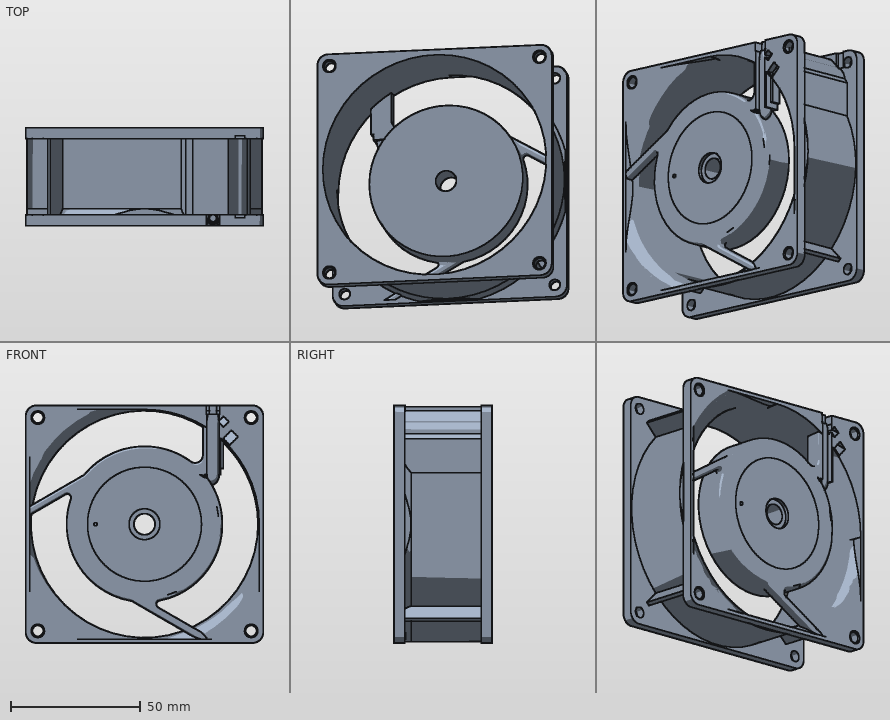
import cadquery as cq
import math


side = 92.0
depth = 38.0
flange_thickness = 4.2
flange_corner_radius = 4.2
mount_pitch = 82.5
mount_hole_radius = 2.1
mount_hole_chamfer = 0.5
front_inner_face = flange_thickness
rear_inner_face = depth - flange_thickness

bore_radius = 43.9
duct_wall = 1.7
duct_radius = bore_radius + duct_wall

flare_depth = 6.6
flare_radius = 51.4
flare_outer_sagitta = 1.0
flare_half_width = 44.4

rib_thickness = 1.6
rib_outer_radius = 52.3
rib_angles = (135, 225, 315)

box_left = 14.2
box_wall_start = 16.0
box_wall_end = 18.6
box_wall_top = 45.5
box_top_end = 32.5
box_bevel_end = 36.4
box_round_end = 39.8
box_right = 40.9
box_top = 43.9
box_left_foot = 41.9
box_left_head = 43.2
box_round_foot = 35.0
box_round_mid = (38.6, 37.9)
box_right_head = 33.1
box_right_foot = 18.4

hub_radius = 30.2
hub_depth = 12.4
hub_edge_radius = 1.4
hub_hole_radius = 4.05
strut_width = 3.0
strut_depth = 4.6
strut_offset = 25.2
strut_length = 55.2
strut_rear_radius = 1.4
strut_angles = (210, 330)
strut_root_radius = 1.4

cable_strut_left = 22.5
cable_strut_right = 30.5
cable_strut_bottom = 19.2
cable_strut_depth = 6.6
cable_strut_root_radius = 2.9
cable_lip_right = 29.5
ledge_depth = 2.8
ledge_bottom = 21.5

cable_x = 26.5
cable_y = 2.9
sleeve_radius = 2.4
sleeve_tip = 15.2
sleeve_bottom = 19.0
shoulder_bottom = 38.1
shoulder_mid = (2.3, 40.5)
shoulder_top_radius = 1.9
sleeve_top = 42.5
sleeve_tip_bulge = (1.8, 2.2)
wire_radius = 1.4
notch_width = 5.15

disc_radius = 22.1
disc_hole_radius = 6.0
disc_thickness = 1.5
disc_mark_radius = 0.6
disc_mark_x = -18.95

ramp_pockets = ((30.5, 39.65, 2.9, 2.9), (33.3, 33.5, 4.5, 3.6))
ramp_depth = 2.8

edge_recess_left = 35.1
edge_recess_right = 38.8
edge_recess_bottom = 39.6
edge_recess_depth = 1.1


def plane_at(y):
    """XZ plane at depth y; its normal points to -Y."""
    return cq.Workplane(cq.Plane(origin=(0, y, 0), xDir=(1, 0, 0), normal=(0, -1, 0)))


def cylinder(radius, y_start, y_end):
    return plane_at(y_start).circle(radius).extrude(y_start - y_end)


def block(x_range, y_range, z_range):
    """Box between two limits along each axis."""
    limits = (x_range, y_range, z_range)
    lengths = [end - start for start, end in limits]
    corner = cq.Vector(*[start for start, end in limits])
    return cq.Workplane(cq.Solid.makeBox(*lengths, corner))


def square_prism(half_width, y_range):
    return block((-half_width, half_width), y_range, (-half_width, half_width))


def turned(body, angle):
    """Body turned about the fan axis, from +X towards +Z."""
    return body.rotate((0, 0, 0), (0, 1, 0), -angle)



def mount_hole(y_outer, y_inner):
    """Hole with a countersink on its outer side."""
    inward = 1 if y_inner > y_outer else -1
    countersink = cq.Solid.makeCone(
        mount_hole_radius + mount_hole_chamfer,
        mount_hole_radius,
        mount_hole_chamfer,
        cq.Vector(0, y_outer, 0),
        cq.Vector(0, inward, 0),
    )
    bore = cylinder(mount_hole_radius, min(y_outer, y_inner), max(y_outer, y_inner))
    return bore.union(cq.Workplane(countersink))


def flange(y_outer, y_inner):
    y_range = (min(y_outer, y_inner), max(y_outer, y_inner))
    plate = square_prism(side / 2, y_range).edges("|Y").fillet(flange_corner_radius)
    hole = mount_hole(y_outer, y_inner)
    for x in (-mount_pitch / 2, mount_pitch / 2):
        for z in (-mount_pitch / 2, mount_pitch / 2):
            plate = plate.cut(hole.translate((x, 0, z)))
    return plate


def revolved_flare(profile):
    """Solid turned from an open XY profile that ends on the flare wall at the end of the flare."""
    return profile.lineTo(0, flare_depth).close().revolve(360, (0, 0, 0), (0, 1, 0))


def bell_inside():
    """Bell whose wall is a quarter ellipse, tangent to the bore."""
    width = flare_radius - bore_radius
    wall_mid = (flare_radius - width * math.sqrt(0.5), flare_depth * (1 - math.sqrt(0.5)))
    wall_end = (bore_radius, flare_depth)
    profile = cq.Workplane("XY").lineTo(flare_radius, 0)
    return revolved_flare(
        profile.spline([wall_mid, wall_end], tangents=[(-1, 0), (0, 1)], includeCurrent=True)
    )


def bell_outside():
    profile = cq.Workplane("XY").lineTo(flare_radius + duct_wall, 0)
    return revolved_flare(profile.sagittaArc((duct_radius, flare_depth), flare_outer_sagitta))


def corner_rib(angle):
    rib = block(
        (bore_radius, rib_outer_radius),
        (front_inner_face, rear_inner_face),
        (-rib_thickness / 2, rib_thickness / 2),
    )
    return turned(rib, angle)


def terminal_box():
    bevel_foot = box_top - (box_bevel_end - box_top_end)
    return (
        plane_at(front_inner_face)
        .moveTo(box_left, box_left_foot)
        .lineTo(box_left, box_left_head)
        .lineTo(box_wall_start, box_wall_top)
        .lineTo(box_wall_end, box_wall_top)
        .lineTo(box_wall_end, box_top)
        .lineTo(box_top_end, box_top)
        .lineTo(box_bevel_end, bevel_foot)
        .threePointArc(box_round_mid, (box_round_end, box_round_foot))
        .lineTo(box_right, box_right_head)
        .lineTo(box_right, box_right_foot)
        .close()
        .extrude(front_inner_face - rear_inner_face)
    )


def duct_passage():
    """Bore with its bell mouth; the +X +Z quadrant has only a slight taper."""
    quadrant = block((0, side), (0, flare_depth), (0, side))
    mouth = bell_inside().intersect(square_prism(flare_half_width, (0, flare_depth)))
    taper = cq.Solid.makeCone(
        flare_half_width, bore_radius, flare_depth, cq.Vector(0, 0, 0), cq.Vector(0, 1, 0)
    )
    bore = cylinder(bore_radius, 0, depth)
    return bore.union(cq.Workplane(taper)).union(mouth.cut(quadrant))


def frame():
    mouth_zone = square_prism(duct_radius, (front_inner_face, flare_depth))
    body = cylinder(duct_radius, front_inner_face, rear_inner_face)
    body = body.union(bell_outside().intersect(mouth_zone))
    for angle in rib_angles:
        body = body.union(corner_rib(angle))
    body = body.union(terminal_box())
    body = body.union(flange(0, front_inner_face)).union(flange(depth, rear_inner_face))
    return body.cut(duct_passage())



def plain_strut(angle):
    side_range = (-strut_offset - strut_width, -strut_offset)
    strut = block((0, strut_length), (0, strut_depth), side_range)
    strut = strut.faces(">Y").edges("|X").fillet(strut_rear_radius)
    return turned(strut, angle)


def cable_strut():
    """Strut with allowance for edge rounding on its right and lower sides, trimmed afterwards."""
    return block(
        (cable_strut_left, cable_lip_right + hub_edge_radius),
        (0, cable_strut_depth),
        (cable_strut_bottom - hub_edge_radius, sleeve_top),
    )


def round_root(body, x, z, radius):
    """Rounds the inner corner between hub and strut at the given place."""
    corner = cq.selectors.NearestToPointSelector((x, strut_depth / 2, z))
    return body.edges("|Y").edges(corner).fillet(radius)


def hub_with_struts():
    body = cylinder(hub_radius, 0, hub_depth)
    for angle in strut_angles:
        body = body.union(plain_strut(angle))
    body = body.union(cable_strut())

    root_bearing = math.degrees(math.asin(strut_offset / hub_radius))
    for angle in strut_angles:
        root = math.radians(angle - root_bearing)
        root_x = hub_radius * math.cos(root)
        root_z = hub_radius * math.sin(root)
        body = round_root(body, root_x, root_z, strut_root_radius)
    root_z = math.sqrt(hub_radius**2 - cable_strut_left**2)
    body = round_root(body, cable_strut_left, root_z, cable_strut_root_radius)

    body = body.faces("<Y").edges().fillet(hub_edge_radius)
    beside_lip = block((cable_lip_right, side / 2), (0, ledge_depth), (0, side / 2))
    beside_ledge = block((cable_strut_right, side / 2), (0, cable_strut_depth), (0, side / 2))
    below_ledge = block((cable_lip_right, side / 2), (0, cable_strut_depth), (0, ledge_bottom))
    below_strut = block((0, side / 2), (0, cable_strut_depth), (0, cable_strut_bottom))
    outside_hub = cylinder(side, 0, cable_strut_depth).cut(cylinder(hub_radius, 0, cable_strut_depth))
    surplus = beside_lip.union(beside_ledge).union(below_ledge).union(below_strut)
    body = body.cut(surplus.intersect(outside_hub))
    return body.intersect(square_prism(flare_half_width, (0, depth)))



def cable():
    tip_mid = (sleeve_tip_bulge[0], sleeve_bottom - sleeve_tip_bulge[1])
    return (
        cq.Workplane("XZ")
        .moveTo(0, sleeve_tip)
        .threePointArc(tip_mid, (sleeve_radius, sleeve_bottom))
        .lineTo(sleeve_radius, shoulder_bottom)
        .threePointArc(shoulder_mid, (shoulder_top_radius, sleeve_top))
        .lineTo(wire_radius, sleeve_top)
        .lineTo(wire_radius, side / 2)
        .lineTo(0, side / 2)
        .close()
        .revolve(360, (0, 0, 0), (0, 1, 0))
        .translate((cable_x, cable_y, 0))
    )


def cable_seat():
    """Room for the cable, open to the front, with a notch through the flange above it."""
    slot = block(
        (cable_x - sleeve_radius, cable_x + sleeve_radius), (0, cable_y), (cable_strut_bottom, sleeve_top)
    )
    notch = block(
        (cable_x - notch_width / 2, cable_x + notch_width / 2),
        (0, flange_thickness),
        (sleeve_top, side / 2),
    )
    return cable().union(slot).union(notch)



def ramp_pocket(center_x, center_z, length, width):
    """Wedge-shaped pocket, deepest along its upper left side."""
    wedge = (
        cq.Workplane("XY")
        .moveTo(-width / 2, 0)
        .lineTo(width / 2, 0)
        .lineTo(-width / 2, ramp_depth)
        .close()
        .extrude(length / 2, both=True)
    )
    return turned(wedge, -45).translate((center_x, 0, center_z))


def edge_recess(y_range):
    return block((edge_recess_left, edge_recess_right), y_range, (edge_recess_bottom, side / 2))



def cover_disc():
    mark = cylinder(disc_mark_radius, 0, disc_thickness).translate((disc_mark_x, 0, 0))
    center_hole = cylinder(disc_hole_radius, 0, disc_thickness)
    return cylinder(disc_radius, 0, disc_thickness).cut(center_hole).cut(mark)



housing = frame().union(hub_with_struts())
housing = housing.cut(cylinder(hub_hole_radius, 0, hub_depth))
housing = housing.cut(cylinder(disc_radius, 0, disc_thickness))
housing = housing.cut(cable_seat())
housing = housing.cut(edge_recess((front_inner_face - edge_recess_depth, front_inner_face)))
housing = housing.cut(edge_recess((rear_inner_face, rear_inner_face + edge_recess_depth)))
for pocket in ramp_pockets:
    housing = housing.cut(ramp_pocket(*pocket))

result = cq.Compound.makeCompound([housing.val(), cable().val(), cover_disc().val()])